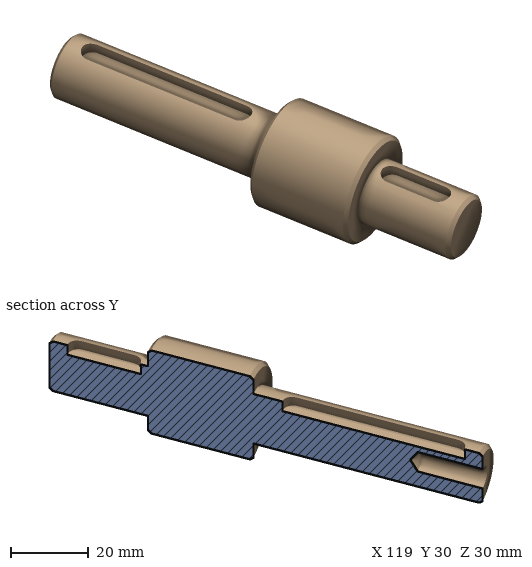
import cadquery as cq
import math

total_length = 119.0
shaft_diameter = 18.0
collar_diameter = 30.0
collar_start = 63.0
collar_length = 29.0
edge_chamfer = 1.0

key_width = 6.0
key_depth = 3.5
key_end_gap = 5.0
long_key_length = 50.0
short_key_length = 20.0

centre_hole_diameter = 6.8
centre_hole_depth = 17.8
drill_point_angle = 118.0


def cylinder(start, length, diameter):
    """Chamfered cylinder lying along X."""
    return (
        cq.Workplane("YZ", origin=(start, 0, 0))
        .circle(diameter / 2)
        .extrude(length)
        .edges()
        .chamfer(edge_chamfer)
    )


def keyway(start, length):
    """Round-ended key pocket, open at the top of the shaft."""
    floor = shaft_diameter / 2 - key_depth
    return (
        cq.Workplane("XY", origin=(start + length / 2, 0, floor))
        .slot2D(length, key_width)
        .extrude(shaft_diameter / 2 - floor)
    )


def centre_hole():
    """Blind drilled hole on the axis, ending in a drill point."""
    radius = centre_hole_diameter / 2
    point_length = radius / math.tan(math.radians(drill_point_angle / 2))
    return (
        cq.Workplane("XY")
        .lineTo(0, radius)
        .lineTo(centre_hole_depth, radius)
        .lineTo(centre_hole_depth + point_length, 0)
        .close()
        .revolve(360, (0, 0, 0), (1, 0, 0))
    )


shaft = cylinder(0, total_length, shaft_diameter)
collar = cylinder(collar_start, collar_length, collar_diameter)
short_key_start = total_length - key_end_gap - short_key_length

result = (
    shaft.union(collar)
    .cut(keyway(key_end_gap, long_key_length))
    .cut(keyway(short_key_start, short_key_length))
    .cut(centre_hole())
)